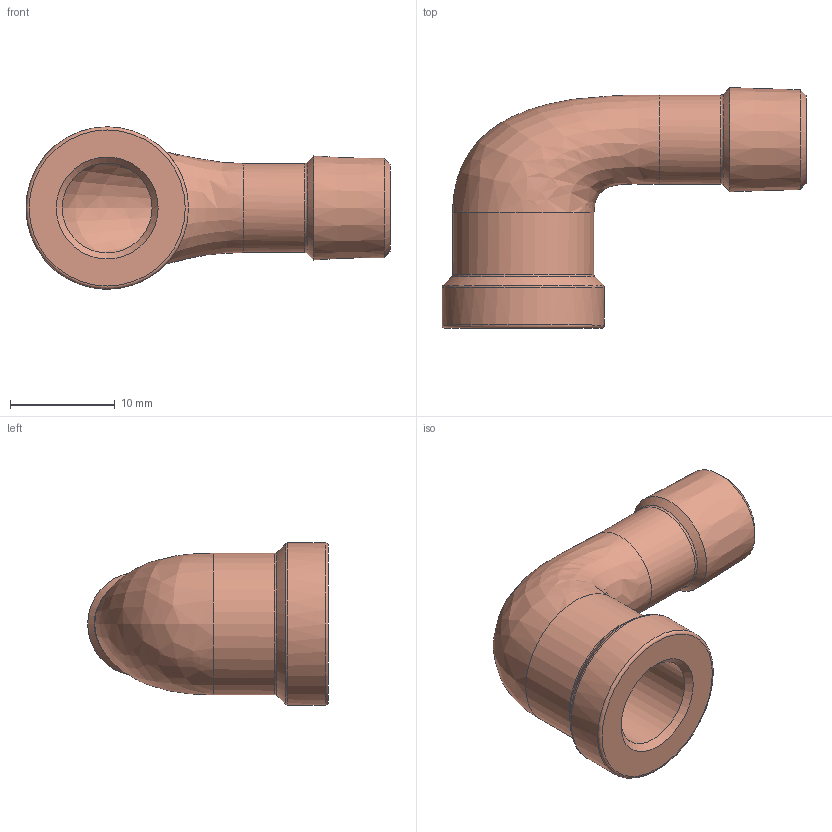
import cadquery as cq
import math


wall = 1.5
inlet_radius = 13.5 / 2
outlet_radius = 8.5 / 2

bend_start_y = 11.0
bend_end_x = 13.0
outlet_axis_y = 18.0
bend_section_count = 17
points_per_section = 24

outer_inlet_pull = 35.5
outer_outlet_pull = 15.6
inner_inlet_pull = 9.6
inner_outlet_pull = 11.0

collar_radius = 15.5 / 2
collar_end_y = 5.0

edge_fillet = 0.3

thread_gauge_radius = 9.728 / 2
thread_bore_radius = 8.57 / 2
thread_bore_depth = 8.0
thread_taper = 1 / 32

outlet_end_x = 27.0
gauge_length = 4.0
shoulder_start_x = 19.0
tip_chamfer = 0.56


def bend_section(t, start_radius, end_radius):
    """Closed elliptical wire of the bend at t, where 0 is the inlet end and 1 the outlet end."""
    end_weight = t * t * (3 - 2 * t)
    start_weight = 1 - end_weight
    start_tangent_weight = t * (1 - t) ** 2
    end_tangent_weight = t * t * (t - 1)

    half_height = start_weight * start_radius + end_weight * end_radius
    points = []
    for i in range(points_per_section):
        angle = 2 * math.pi * i / points_per_section
        side = math.cos(angle) * start_radius / inlet_radius
        inlet_pull = (outer_inlet_pull * (1 + side) + inner_inlet_pull * (1 - side)) / 2
        outlet_pull = (outer_outlet_pull * (1 + side) + inner_outlet_pull * (1 - side)) / 2
        start_x = -start_radius * math.cos(angle)
        end_y = outlet_axis_y + end_radius * math.cos(angle)
        x = start_weight * start_x + end_weight * bend_end_x + end_tangent_weight * outlet_pull
        y = start_weight * bend_start_y + end_weight * end_y + start_tangent_weight * inlet_pull
        points.append(cq.Vector(x, y, half_height * math.sin(angle)))
    return cq.Wire.assembleEdges([cq.Edge.makeSpline(points, periodic=True)])


def bend(start_radius, end_radius):
    """Solid bend that blends from one round end to the other."""
    last = bend_section_count - 1
    start_plane = cq.Plane(origin=(0, bend_start_y, 0), xDir=(-1, 0, 0), normal=(0, 1, 0))
    end_plane = cq.Plane(origin=(bend_end_x, outlet_axis_y, 0), xDir=(0, 1, 0), normal=(1, 0, 0))
    sections = [cq.Workplane(start_plane).circle(start_radius).wires().val()]
    for i in range(1, last):
        sections.append(bend_section(i / last, start_radius, end_radius))
    sections.append(cq.Workplane(end_plane).circle(end_radius).wires().val())
    return cq.Workplane(obj=cq.Solid.makeLoft(sections))


def inlet_body():
    """Inlet pipe with its thick collar, revolved about the Y axis."""
    shoulder_start_y = collar_end_y - (collar_radius - inlet_radius)
    profile = [
        (0, 0),
        (collar_radius, 0),
        (collar_radius, shoulder_start_y),
        (inlet_radius, collar_end_y),
        (inlet_radius, bend_start_y),
        (0, bend_start_y),
    ]
    body = cq.Workplane("XY").polyline(profile).close().revolve(360, (0, 0), (0, 1))
    collar_box = cq.selectors.BoxSelector(
        (-collar_radius, -edge_fillet, -collar_radius),
        (collar_radius, collar_end_y + edge_fillet, collar_radius),
        boundingbox=False,
    )
    return body.edges("%CIRCLE").edges(collar_box).fillet(edge_fillet)


def taper_radius(x):
    """Radius of the tapered male end at x; it equals the gauge radius at the gauge plane."""
    return thread_gauge_radius + thread_taper * (outlet_end_x - gauge_length - x)


def outlet_body():
    """Outlet pipe with its tapered male end, revolved about its own X axis."""
    shoulder_height = (taper_radius(shoulder_start_x) - outlet_radius) / (1 + thread_taper)
    shoulder_end_x = shoulder_start_x + shoulder_height
    chamfer_x = outlet_end_x - tip_chamfer
    profile = [
        (bend_end_x, 0),
        (bend_end_x, outlet_radius),
        (shoulder_start_x, outlet_radius),
        (shoulder_end_x, outlet_radius + shoulder_height),
        (chamfer_x, taper_radius(chamfer_x)),
        (outlet_end_x, taper_radius(chamfer_x) - tip_chamfer),
        (outlet_end_x, 0),
    ]
    body = (
        cq.Workplane("XY", origin=(0, outlet_axis_y, 0))
        .polyline(profile).close().revolve(360, (0, 0), (1, 0))
    )
    neck = cq.selectors.NearestToPointSelector((shoulder_start_x, outlet_axis_y, 0))
    return body.edges("%CIRCLE").edges(neck).fillet(edge_fillet)


def inlet_bore():
    """Chamfered thread bore that opens into the wider bore of the inlet pipe."""
    pipe_bore_radius = inlet_radius - wall
    chamfer = thread_gauge_radius - thread_bore_radius
    profile = [
        (0, 0),
        (thread_gauge_radius, 0),
        (thread_bore_radius, chamfer),
        (thread_bore_radius, thread_bore_depth),
        (pipe_bore_radius, thread_bore_depth),
        (pipe_bore_radius, bend_start_y),
        (0, bend_start_y),
    ]
    return cq.Workplane("XY").polyline(profile).close().revolve(360, (0, 0), (0, 1))


def outlet_bore():
    """Straight bore through the outlet pipe and its male end."""
    return (
        cq.Workplane("YZ", origin=(bend_end_x, outlet_axis_y, 0))
        .circle(outlet_radius - wall)
        .extrude(outlet_end_x - bend_end_x)
    )


inlet = inlet_body().cut(inlet_bore())
hollow_bend = bend(inlet_radius, outlet_radius).cut(bend(inlet_radius - wall, outlet_radius - wall))
outlet = outlet_body().cut(outlet_bore())
result = inlet.union(hollow_bend, glue=True).union(outlet, glue=True)